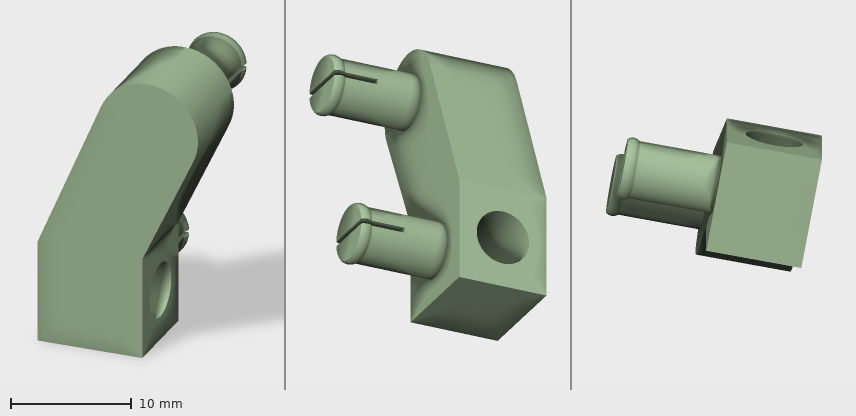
import cadquery as cq
import math

foot_width = 9.35
foot_height = 9.0
arm_depth = 8.0
end_radius = 4.5
overall_width = 14.3
overall_height = 25.0
end_x = overall_width - end_radius
end_z = overall_height - end_radius

peg_radius = 2.4
peg_length = 7.9
head_radius = 2.6
head_length = 1.0
slot_length = 4.0
slot_height = 0.45
hole_radius = peg_radius
hole_z = 4.5
peg_centers = [(foot_width / 2, hole_z), (end_x, end_z)]


def tangent_point(corner_x, side):
    """Touch point on the round end of a line from a top corner of the foot; side 1 is left, -1 right."""
    run = end_x - corner_x
    rise = end_z - foot_height
    distance = math.hypot(run, rise)
    angle = math.atan2(rise, run) + side * math.asin(end_radius / distance)
    length = math.sqrt(distance**2 - end_radius**2)
    return (corner_x + length * math.cos(angle), foot_height + length * math.sin(angle))


def make_arm():
    arm = (
        cq.Workplane("XZ")
        .lineTo(foot_width, 0)
        .lineTo(foot_width, foot_height)
        .lineTo(*tangent_point(foot_width, -1))
        .threePointArc((end_x, overall_height), tangent_point(0, 1))
        .lineTo(0, foot_height)
        .close()
        .extrude(-arm_depth)
    )
    hole = (
        cq.Workplane("YZ")
        .center(arm_depth / 2, hole_z)
        .circle(hole_radius)
        .extrude(foot_width)
    )
    return arm.cut(hole)


def make_peg(x, z):
    """Round peg with a bulged, slotted tip."""
    peg = (
        cq.Workplane("XY")
        .lineTo(peg_radius, 0)
        .lineTo(peg_radius, peg_length - head_length)
        .threePointArc((head_radius, peg_length - head_length / 2), (peg_radius, peg_length))
        .lineTo(0, peg_length)
        .close()
        .revolve(360, (0, 0, 0), (0, 1, 0))
    )
    slot = (
        cq.Workplane("XY")
        .box(2 * head_radius, slot_length, slot_height)
        .translate((0, peg_length - slot_length / 2, 0))
    )
    return peg.cut(slot).translate((x, arm_depth, z))


result = make_arm()
for peg_x, peg_z in peg_centers:
    result = result.union(make_peg(peg_x, peg_z))